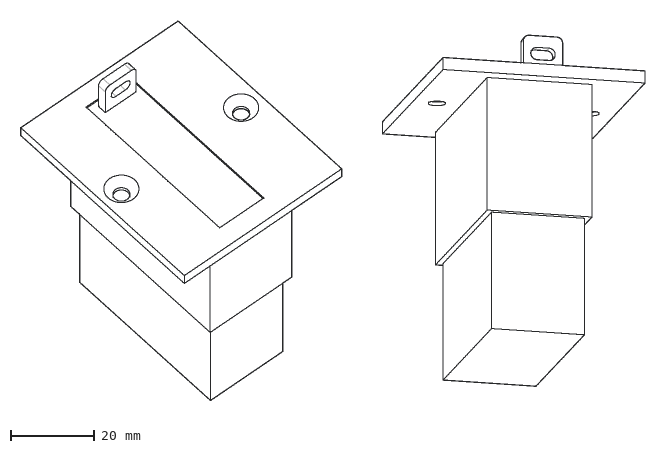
import cadquery as cq

total_height = 74.0
lower_body_height = 29.0
upper_body_height = 33.0
plate_thickness = 3.0

plate_length = 60.0
plate_width = 50.0

upper_body_length = 51.2
upper_body_width = 26.0
lower_body_length = 48.0
lower_body_width = 23.0

hole_diameter = 4.15
countersink_diameter = 8.4
countersink_angle = 90.0
hole_spacing = 38.0

recess_length = 49.0
recess_width = 14.0
recess_depth = 0.5
recess_center_y = -2.0

tab_thickness = 2.5
tab_width = 9.8
tab_corner_radius = 1.5
tab_center_y = -1.5
tab_recess_gap = 1.5
slot_length = 6.0
slot_height = 3.0
slot_center_height = 4.5

upper_body_bottom = lower_body_height
plate_bottom = upper_body_bottom + upper_body_height
plate_top = plate_bottom + plate_thickness
recess_floor = plate_top - recess_depth
tab_height = total_height - recess_floor
tab_center_x = -recess_length / 2 + tab_recess_gap + tab_thickness / 2


def block(length, width, height, bottom, center_x=0.0, center_y=0.0):
    """Box centred at the given X and Y, rising from the bottom level."""
    solid = cq.Workplane("XY").box(length, width, height, centered=(True, True, False))
    return solid.translate((center_x, center_y, bottom))


def make_body():
    lower = block(lower_body_length, lower_body_width, lower_body_height, 0.0)
    upper = block(upper_body_length, upper_body_width, upper_body_height, upper_body_bottom)
    return lower.union(upper)


def make_plate():
    plate = block(plate_length, plate_width, plate_thickness, plate_bottom)
    plate = (
        plate.faces(">Z")
        .workplane(origin=(0, 0, plate_top))
        .pushPoints([(0, -hole_spacing / 2), (0, hole_spacing / 2)])
        .cskHole(hole_diameter, countersink_diameter, countersink_angle)
    )
    recess = block(
        recess_length, recess_width, recess_depth, recess_floor, center_y=recess_center_y
    )
    return plate.cut(recess)


def make_tab():
    tab = block(tab_thickness, tab_width, tab_height, recess_floor, tab_center_x, tab_center_y)
    tab = tab.faces(">Z").edges("|X").fillet(tab_corner_radius)
    slot = (
        cq.Workplane("YZ", origin=(tab_center_x, tab_center_y, plate_top + slot_center_height))
        .slot2D(slot_length, slot_height)
        .extrude(tab_thickness, both=True)
    )
    return tab.cut(slot)


result = make_body().union(make_plate()).union(make_tab())